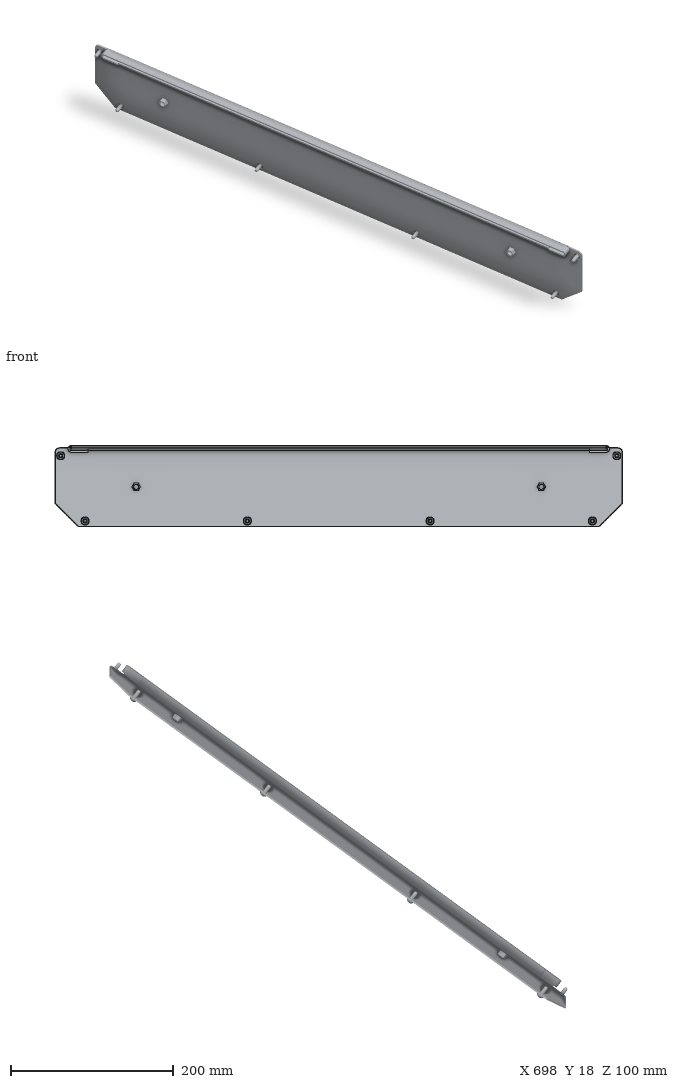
import cadquery as cq
import math

panel_length = 698.0
sheet = 2.0
panel_height = 97.0
bottom_chamfer = 28.5
top_corner_radius = 6.0

overall_height = 100.0
flange_reach = 14.0
flange_length = 657.5
flange_bend_radius = 4.0
flange_underside = overall_height - sheet
bend_start = overall_height - flange_bend_radius

fold_radius = 4.0
tab_end_x = 308.5
fold_width = flange_reach - flange_bend_radius
tab_bottom = overall_height - 2 * fold_radius
tab_top = tab_bottom + sheet

strip_length = 2 * tab_end_x
strip_bottom = 93.5
strip_thickness = bend_start - strip_bottom
strip_width = flange_reach - sheet

head_diameter = 10.5
head_height = 4.0
shank_diameter = 5.0
shank_length = 12.0
tip_length = 2.0
tip_diameter = 3.5
screw_hole_diameter = 9.0
corner_screw_x = 342.0
corner_screw_z = 87.0
outer_screw_x = 312.0
inner_screw_x = 112.5
bottom_screw_z = 7.0

nut_across_flats = 9.0
nut_bore_diameter = 6.0
nut_height = 5.5
nut_x = 249.0
nut_z = 49.0

sides = (-1, 1)
screw_places = [(side * corner_screw_x, corner_screw_z) for side in sides]
screw_places += [(side * x, bottom_screw_z) for x in (outer_screw_x, inner_screw_x) for side in sides]
nut_places = [(side * nut_x, nut_z) for side in sides]


def make_plate():
    """Flat sheet with chamfered bottom corners, cleared along its top for the flange bend."""
    plate = (
        cq.Workplane("XZ")
        .rect(panel_length, panel_height)
        .extrude(sheet)
        .translate((0, 0, panel_height / 2))
        .edges("|Y and <Z")
        .chamfer(bottom_chamfer)
        .edges("|Y and >Z")
        .fillet(top_corner_radius)
    )
    bend_clearance = (
        cq.Workplane("XZ")
        .center(0, (bend_start + overall_height) / 2)
        .rect(flange_length, flange_bend_radius)
        .extrude(sheet)
    )
    return plate.cut(bend_clearance)


def make_flange():
    """Quarter bend out of the plate, then a flat strip towards -Y."""
    inner_radius = flange_bend_radius - sheet
    return (
        cq.Workplane("YZ")
        .moveTo(0, bend_start)
        .radiusArc((-flange_bend_radius, overall_height), -flange_bend_radius)
        .lineTo(-flange_reach, overall_height)
        .lineTo(-flange_reach, flange_underside)
        .lineTo(-flange_bend_radius, flange_underside)
        .radiusArc((-sheet, bend_start), inner_radius)
        .close()
        .extrude(flange_length / 2, both=True)
    )


def make_fold():
    """Half-round fold and tab at the +X end of the flange."""
    fold_x = flange_length / 2
    fold_z = overall_height - fold_radius
    return (
        cq.Workplane("XZ", origin=(0, -flange_bend_radius, 0))
        .moveTo(fold_x, overall_height)
        .threePointArc((fold_x + fold_radius, fold_z), (fold_x, tab_bottom))
        .lineTo(tab_end_x, tab_bottom)
        .lineTo(tab_end_x, tab_top)
        .lineTo(fold_x, tab_top)
        .threePointArc((fold_x + fold_radius - sheet, fold_z), (fold_x, flange_underside))
        .close()
        .extrude(fold_width)
    )


def make_panel():
    fold = make_fold()
    panel = make_plate().union(make_flange()).union(fold).union(fold.mirror("YZ"))
    screw_holes = cq.Workplane("XZ").pushPoints(screw_places).circle(screw_hole_diameter / 2).extrude(sheet)
    return panel.cut(screw_holes)


def make_strip():
    """Flat strip with its back edge against the panel and its ends against the tabs."""
    return cq.Workplane("XY").box(strip_length, strip_width, strip_thickness).translate((
        0,
        strip_width / 2 - flange_reach,
        strip_bottom + strip_thickness / 2,
    ))


def make_screw(x, z):
    """Domed head resting on the back face, shank through the panel with a tapered tip."""
    head_radius = head_diameter / 2
    dome_radius = (head_radius**2 + head_height**2) / (2 * head_height)
    half_profile = (
        cq.Workplane("XY")
        .moveTo(0, -shank_length)
        .lineTo(tip_diameter / 2, -shank_length)
        .lineTo(shank_diameter / 2, tip_length - shank_length)
        .lineTo(shank_diameter / 2, 0)
        .lineTo(head_radius, 0)
        .radiusArc((0, head_height), -dome_radius)
        .close()
    )
    return half_profile.revolve(360, (0, 0, 0), (0, 1, 0)).translate((x, 0, z))


def make_nut(x, z):
    across_corners = nut_across_flats / math.cos(math.pi / 6)
    return (
        cq.Workplane("XZ", origin=(x, -sheet, z))
        .polygon(6, across_corners)
        .circle(nut_bore_diameter / 2)
        .extrude(nut_height)
    )


panel = make_panel()
strip = make_strip()
screws = [make_screw(x, z).val() for x, z in screw_places]
nuts = [make_nut(x, z).val() for x, z in nut_places]

result = cq.Compound.makeCompound([panel.val(), strip.val(), *screws, *nuts])